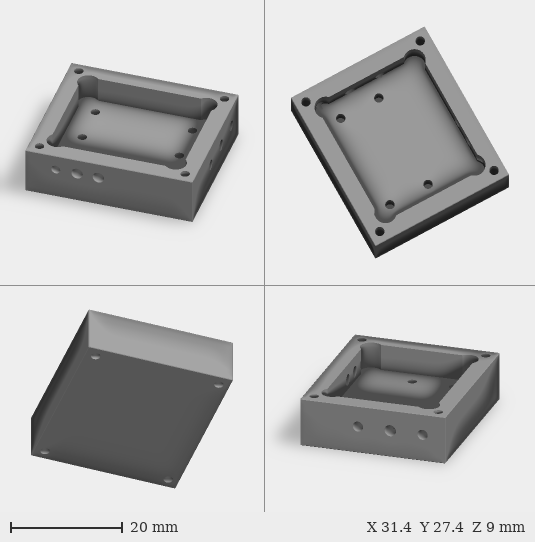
import cadquery as cq

LENGTH = 31.4
WIDTH = 27.4
HEIGHT = 9.0
TOP_Z = HEIGHT / 2
EDGE_CHAMFER = 0.1

WALL = 3.2
POCKET_LENGTH = LENGTH - 2 * WALL
POCKET_WIDTH = WIDTH - 2 * WALL
POCKET_DEPTH = 4.85
FLOOR_Z = TOP_Z - POCKET_DEPTH
RELIEF_RADIUS = 2.0
RELIEF_INSET = 1.4

SCREW_DIAMETER = 1.69
RIM_HOLE_INSET = 2.0
FLOOR_HOLE_SPACING_X = 18.25
FLOOR_HOLE_SPACING_Y = 7.8
FLOOR_HOLE_CENTRE_Y = 3.2
FLOOR_HOLE_DEPTH = 3.0

FRONT_HOLE_Z = TOP_Z - 3.0
FRONT_HOLES = [(-10.0, 1.69), (-6.0, 2.15), (-2.0, 2.15)]

SIDE_HOLE_Z = TOP_Z - 3.95
SIDE_HOLES = [(9.4, 1.94, 0.3), (3.3, 2.16, 0.1), (-2.8, 1.94, 0.3)]


def make_pocket():
    """Rectangular pocket volume joined with a relief cylinder at each corner."""
    floor = cq.Workplane("XY").workplane(offset=FLOOR_Z)
    pocket = floor.rect(POCKET_LENGTH, POCKET_WIDTH).extrude(POCKET_DEPTH)
    reliefs = (
        floor.rect(
            POCKET_LENGTH - 2 * RELIEF_INSET,
            POCKET_WIDTH - 2 * RELIEF_INSET,
            forConstruction=True,
        )
        .vertices()
        .circle(RELIEF_RADIUS)
        .extrude(POCKET_DEPTH)
    )
    return pocket.union(reliefs)


def make_rim_holes():
    """Through holes near the four corners of the rim."""
    return (
        cq.Workplane("XY")
        .workplane(offset=-HEIGHT / 2)
        .rect(LENGTH - 2 * RIM_HOLE_INSET, WIDTH - 2 * RIM_HOLE_INSET, forConstruction=True)
        .vertices()
        .circle(SCREW_DIAMETER / 2)
        .extrude(HEIGHT)
    )


def make_floor_holes():
    """Four blind holes sunk into the pocket floor."""
    return (
        cq.Workplane("XY")
        .workplane(offset=FLOOR_Z)
        .center(0, FLOOR_HOLE_CENTRE_Y)
        .rect(FLOOR_HOLE_SPACING_X, FLOOR_HOLE_SPACING_Y, forConstruction=True)
        .vertices()
        .circle(SCREW_DIAMETER / 2)
        .extrude(-FLOOR_HOLE_DEPTH)
    )


def make_front_hole(x, diameter):
    """Hole along +Y from the -Y face to the inner face of the wall."""
    start = cq.Vector(x, -WIDTH / 2, FRONT_HOLE_Z)
    return cq.Workplane(cq.Solid.makeCylinder(diameter / 2, WALL, start, cq.Vector(0, 1, 0)))


def make_side_hole(y, diameter, overrun):
    """Hole along -X from the +X face to just past the inner face of the wall."""
    start = cq.Vector(LENGTH / 2, y, SIDE_HOLE_Z)
    length = WALL + overrun
    return cq.Workplane(cq.Solid.makeCylinder(diameter / 2, length, start, cq.Vector(-1, 0, 0)))


result = cq.Workplane("XY").box(LENGTH, WIDTH, HEIGHT).edges().chamfer(EDGE_CHAMFER)
result = result.cut(make_pocket())
result = result.cut(make_rim_holes())
result = result.cut(make_floor_holes())
for x, diameter in FRONT_HOLES:
    result = result.cut(make_front_hole(x, diameter))
for y, diameter, overrun in SIDE_HOLES:
    result = result.cut(make_side_hole(y, diameter, overrun))